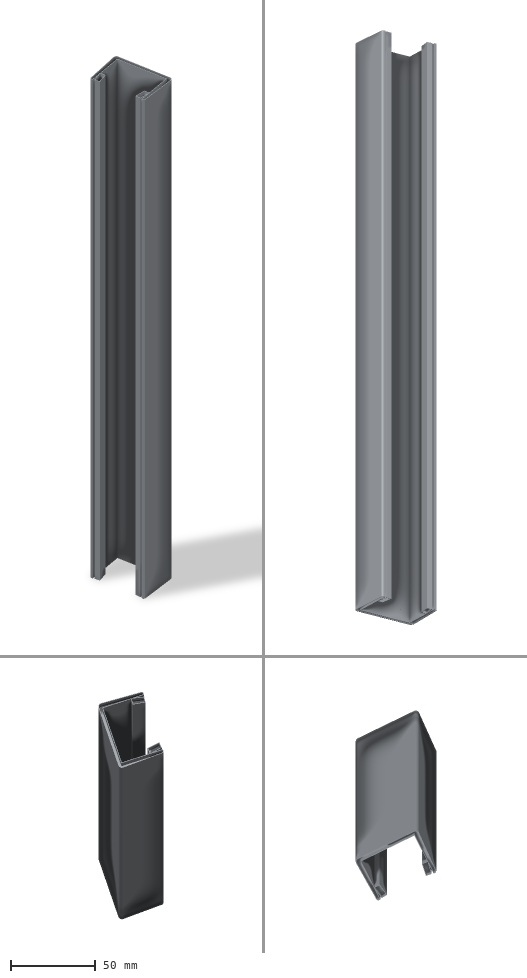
import cadquery as cq
import math

total_length = 360.0
rim_length = 7.2
rim_wall = 0.5
back_width = 41.5
depth = 28.0
back_thickness = 2.5
corner_radius = 2.0
tip_inset = 1.0
leg_thickness = 2.0
lip_height = 7.5
lip_reach = 3.5
lip_flare = 1.0
groove_depth = 5.8
groove_width = 1.0
mouth_rise = 0.5
tip_chamfer = 0.7
lip_rise = 0.7

half_width = back_width / 2
rear = depth / 2
front = -depth / 2
outer_tip = half_width - tip_inset
inner_leg = outer_tip - leg_thickness
lip_rear = front + lip_height + lip_rise
lip_inner = inner_leg - lip_reach
bar_length = total_length - 2 * rim_length
bar_bottom = -bar_length / 2


def half_outline():
    """Right half of the cross-section, from the rounded rear corner to the inside of the back."""
    return [
        (half_width, rear - corner_radius),
        (outer_tip, front + tip_chamfer),
        (outer_tip - tip_chamfer, front),
        (inner_leg, front),
        (inner_leg, front + groove_depth),
        (inner_leg - groove_width, front + mouth_rise),
        (lip_inner - lip_flare, front + lip_rise),
        (lip_inner, lip_rear),
        (inner_leg, lip_rear),
        (inner_leg, rear - back_thickness),
    ]


def channel_profile(bottom):
    """Closed lipped-channel outline at the given height, symmetric about X = 0."""
    right_half = half_outline()
    left_half = [(-x, y) for x, y in reversed(right_half)]
    flat_end = half_width - corner_radius
    arc_offset = corner_radius * math.sqrt(0.5)
    arc_x = flat_end + arc_offset
    arc_y = rear - corner_radius + arc_offset
    return (
        cq.Workplane("XY").workplane(offset=bottom)
        .moveTo(*right_half[0])
        .polyline(right_half[1:] + left_half, includeCurrent=True)
        .threePointArc((-arc_x, arc_y), (-flat_end, rear))
        .lineTo(flat_end, rear)
        .threePointArc((arc_x, arc_y), right_half[0])
        .close()
    )


def end_rim(bottom):
    """Thin wall that follows the channel outline, open at both ends."""
    outside = channel_profile(bottom).extrude(rim_length)
    cavity = channel_profile(bottom).offset2D(-rim_wall, "intersection").extrude(rim_length)
    return outside.cut(cavity)


main_bar = channel_profile(bar_bottom).extrude(bar_length)

rim_bottoms = [-total_length / 2, bar_bottom + bar_length]
end_rims = [end_rim(bottom) for bottom in rim_bottoms]

result = cq.Compound.makeCompound([main_bar.val(), *[rim.val() for rim in end_rims]])